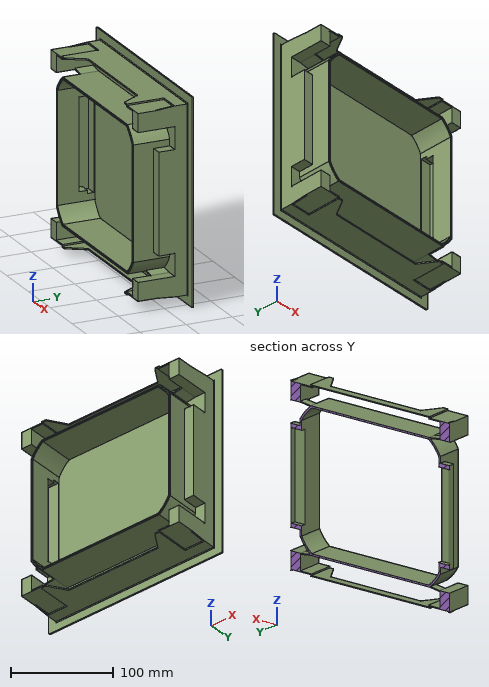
import cadquery as cq
import math


FLANGE_SIZE = 220.0
TOTAL_DEPTH = 57.0
WALL = 1.5

FLANGE_THICKNESS = 3.0
FLANGE_EDGE = 1.5
CROWN_WIDTH = 13.2
FLANGE_CORNER_RADIUS = 1.3

BOX_HALF = 99.9
FLARE = 0.9
FLOOR_DEPTH = 39.8
BOX_DEPTH = TOTAL_DEPTH - FLANGE_THICKNESS

TUB_HALF_X = 88.2
TUB_HALF_Z = 78.0
TUB_CORNER_X = 74.4
TUB_CORNER_Z = 61.4
CORNER_BULGE = 1.0
TUB_WALL = 2.5
RIM_CHAMFER = 0.7
LID_STEP = 1.0
LID_DEPTH = FLOOR_DEPTH + LID_STEP

FOOT_INNER_X = 87.3
FOOT_INNER_Z = 78.3
LEDGE_DEPTH = 20.0

BLOCK_HALF_Z = 54.3
BLOCK_DEPTH = 22.5
STEP_HEIGHT = 3.3
STEP_DEPTH = 33.2

CUTOUT_FRONT_HALF = 69.0
CUTOUT_BACK_HALF = 56.5

PANEL_INNER_X = 74.8
PANEL_RECESS = 1.65

SIGNS = (1, -1)
QUADRANTS = [(sx, sz) for sx in SIGNS for sz in SIGNS]


def block(x0, x1, y0, y1, z0, z1):
    """Axis-aligned box between opposite corners given in any order."""
    size = (abs(x1 - x0), abs(y1 - y0), abs(z1 - z0))
    centre = ((x0 + x1) / 2, (y0 + y1) / 2, (z0 + z1) / 2)
    return cq.Workplane("XY").box(*size).translate(centre)


def prism_along_y(points, y0, y1):
    """Prism over an X-Z outline, from depth y0 to depth y1."""
    return cq.Workplane("XZ", origin=(0, y0, 0)).polyline(points).close().extrude(y0 - y1)


def square_along_y(half, y0, y1):
    return block(-half, half, y0, y1, -half, half)


def tub_outline(y, inset):
    """Eight-sided tub outline at depth y with bowed cut corners, shrunk by inset."""
    half_x = TUB_HALF_X - inset
    half_z = TUB_HALF_Z - inset
    corner_x = TUB_CORNER_X - inset / 2
    corner_z = TUB_CORNER_Z - inset / 2
    run_x = half_x - corner_x
    run_z = half_z - corner_z
    length = math.hypot(run_x, run_z)
    bow_x = (half_x + corner_x) / 2 + CORNER_BULGE * run_z / length
    bow_z = (half_z + corner_z) / 2 + CORNER_BULGE * run_x / length
    return (
        cq.Workplane("XZ", origin=(0, y, 0))
        .moveTo(-corner_x, half_z)
        .lineTo(corner_x, half_z)
        .threePointArc((bow_x, bow_z), (half_x, corner_z))
        .lineTo(half_x, -corner_z)
        .threePointArc((bow_x, -bow_z), (corner_x, -half_z))
        .lineTo(-corner_x, -half_z)
        .threePointArc((-bow_x, -bow_z), (-half_x, -corner_z))
        .lineTo(-half_x, corner_z)
        .threePointArc((-bow_x, bow_z), (-corner_x, half_z))
        .close()
    )


def make_shell():
    """Box with a solid back, an open front and a flared foot."""
    shell = square_along_y(BOX_HALF, 0, BOX_DEPTH)
    shell = shell.cut(square_along_y(BOX_HALF - WALL, 0, FLOOR_DEPTH))
    flare = (
        cq.Workplane("XZ", origin=(0, BOX_DEPTH, 0))
        .rect(2 * (BOX_HALF + FLARE), 2 * (BOX_HALF + FLARE))
        .workplane(offset=FLARE)
        .rect(2 * BOX_HALF, 2 * BOX_HALF)
        .loft(ruled=True)
    )
    return shell.union(flare)


def open_side(side):
    """Opening in a side wall between its two feet."""
    return block(side * BOX_HALF, side * (BOX_HALF - WALL), 0, FLOOR_DEPTH, -FOOT_INNER_Z, FOOT_INNER_Z)


def wall_cutout(side):
    """Trapezoid cut-out in the front edge of the top or bottom wall."""
    outline = [
        (-CUTOUT_FRONT_HALF, 0),
        (CUTOUT_FRONT_HALF, 0),
        (CUTOUT_BACK_HALF, LEDGE_DEPTH),
        (-CUTOUT_BACK_HALF, LEDGE_DEPTH),
    ]
    cutter = cq.Workplane("XY", origin=(0, 0, side * BOX_HALF)).polyline(outline).close()
    return cutter.extrude(-side * 2 * WALL)


def foot(sx, sz):
    """Solid corner foot reaching the front."""
    return block(sx * BOX_HALF, sx * FOOT_INNER_X, 0, FLOOR_DEPTH, sz * BOX_HALF, sz * FOOT_INNER_Z)


def web(sx, sz):
    """Thin sloped wall from a foot to the nearest tub corner."""
    outline = [
        (sx * FOOT_INNER_X, sz * FOOT_INNER_Z),
        (sx * FOOT_INNER_X, sz * (FOOT_INNER_Z + WALL)),
        (sx * TUB_CORNER_X, sz * TUB_HALF_Z),
        (sx * TUB_CORNER_X, sz * (TUB_HALF_Z - WALL)),
    ]
    return prism_along_y(outline, LEDGE_DEPTH, FLOOR_DEPTH)


def panel_backing(sx, sz):
    """Extra wall behind a recessed panel, keeping the wall thickness."""
    outer = sz * BOX_HALF
    inner = sz * (BOX_HALF - PANEL_RECESS - WALL)
    return block(sx * BOX_HALF, sx * (PANEL_INNER_X - WALL), 0, FLOOR_DEPTH, outer, inner)


def panel_recess(sx, sz):
    """Recessed panel; a tapering rim along the side wall runs out at the ledge depth."""
    outer = sz * BOX_HALF
    floor = sz * (BOX_HALF - PANEL_RECESS)
    rim_x = sx * (BOX_HALF - WALL)
    recess = block(rim_x, sx * PANEL_INNER_X, 0, FLOOR_DEPTH, outer, floor)
    rim_profile = [(0, outer), (FLOOR_DEPTH, outer), (LEDGE_DEPTH, floor), (0, floor)]
    rim = cq.Workplane("YZ", origin=(rim_x, 0, 0)).polyline(rim_profile).close().extrude(sx * WALL)
    return recess.union(rim)


def side_block(side):
    return block(side * BOX_HALF, side * TUB_HALF_X, BLOCK_DEPTH, FLOOR_DEPTH, -BLOCK_HALF_Z, BLOCK_HALF_Z)


def side_block_hollow(side):
    """Hollow of a side block, open to the tub and narrower in front of the end steps."""
    back_half_z = BLOCK_HALF_Z - WALL
    front_half_z = back_half_z - STEP_HEIGHT
    outer_x = side * (BOX_HALF - WALL)
    inner_x = side * (TUB_HALF_X - TUB_WALL)
    front = block(outer_x, inner_x, BLOCK_DEPTH + WALL, FLOOR_DEPTH, -front_half_z, front_half_z)
    back = block(outer_x, inner_x, STEP_DEPTH, FLOOR_DEPTH, -back_half_z, back_half_z)
    return front.union(back)


def crown_cutter():
    """Removes the curved band along the +X side of the flange, over its whole length."""
    half = FLANGE_SIZE / 2
    drop = FLANGE_THICKNESS - FLANGE_EDGE
    radius = (CROWN_WIDTH**2 + drop**2) / (2 * drop)
    start_x = half - CROWN_WIDTH
    mid_x = half - CROWN_WIDTH / 2
    mid_y = TOTAL_DEPTH - radius + math.sqrt(radius**2 - (CROWN_WIDTH / 2) ** 2)
    return (
        cq.Workplane("XY", origin=(0, 0, -half))
        .moveTo(start_x, TOTAL_DEPTH)
        .threePointArc((mid_x, mid_y), (half, TOTAL_DEPTH - drop))
        .lineTo(half, TOTAL_DEPTH)
        .close()
        .extrude(FLANGE_SIZE)
    )


def make_flange():
    """Square plate whose back curves down towards all four sides."""
    flange = square_along_y(FLANGE_SIZE / 2, BOX_DEPTH, TOTAL_DEPTH)
    flange = flange.edges("|Y").fillet(FLANGE_CORNER_RADIUS)
    for quarter in range(4):
        flange = flange.cut(crown_cutter().rotate((0, 0, 0), (0, 1, 0), 90 * quarter))
    return flange


def make_tub():
    """Tub wall with a chamfered rim, open at both ends."""
    tub = tub_outline(0, 0).extrude(-FLOOR_DEPTH)
    tub = tub.cut(tub_outline(0, TUB_WALL).extrude(-FLOOR_DEPTH))
    return tub.faces("<Y").chamfer(RIM_CHAMFER)


def make_lid():
    """Plug at the bottom of the tub, flush with the back of the flange."""
    return tub_outline(LID_DEPTH, TUB_WALL).extrude(LID_DEPTH - TOTAL_DEPTH)


def lid_hole():
    """Hole through the back of the housing, in line with the tub."""
    return tub_outline(FLOOR_DEPTH, TUB_WALL).extrude(FLOOR_DEPTH - TOTAL_DEPTH)


def make_housing():
    housing = make_shell().union(make_flange())
    for side in SIGNS:
        housing = housing.cut(open_side(side)).cut(wall_cutout(side))
    for sx, sz in QUADRANTS:
        housing = housing.union(foot(sx, sz)).union(web(sx, sz)).union(panel_backing(sx, sz))
    for side in SIGNS:
        housing = housing.union(side_block(side))
    housing = housing.union(make_tub()).cut(lid_hole())
    for side in SIGNS:
        housing = housing.cut(side_block_hollow(side))
    for sx, sz in QUADRANTS:
        housing = housing.cut(panel_recess(sx, sz))
    return housing


housing = make_housing()
lid = make_lid()

result = cq.Compound.makeCompound([housing.val(), lid.val()])